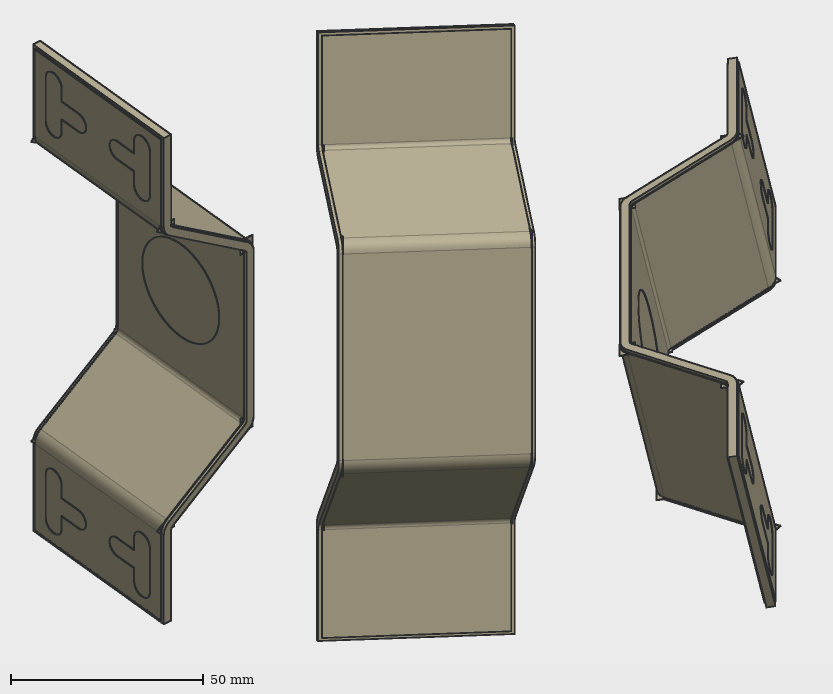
import cadquery as cq
import math

width = 52.0
height = 161.0

flange_mid_y = -13.7
centre_mid_y = 14.8
flange_bend_z = 49.3
centre_bend_z = 29.0
bend_mid_radius = 3.2

sheet_thickness = 3.0
lip_thickness = 2.4
side_lip = 1.0
end_lip = 0.8

web_thickness = 0.2
flange_web_outline = [(-10.5, 50.9), (-15.3, 50.9), (-16.5, 49.6), (-12.9, 47.4), (-10.5, 49.5)]
centre_web_outline = [(12.2, 27.2), (16.5, 27.2), (16.5, 31.7), (12.2, 31.7)]

mark_depth = 0.2
disc_diameter = 30.6
slot_x = 17.5
slot_z = 65.7
slot_length = 21.0
slot_width = 6.3
branch_width = 6.0
branch_tip_x = 4.7

slope_angle = math.atan2(flange_bend_z - centre_bend_z, centre_mid_y - flange_mid_y)
bend_angle = math.pi / 2 - slope_angle


def extrude_across(profile, length):
    """Extrude a YZ profile along X, centred on X = 0."""
    return profile.extrude(length / 2, both=True)


def surface_path(offset, end_z):
    """Corners of the sheet surface lying `offset` behind the mid-surface, top to bottom."""
    corner_shift = offset * math.tan(bend_angle / 2)
    upper = [
        (flange_mid_y + offset, end_z),
        (flange_mid_y + offset, flange_bend_z + corner_shift),
        (centre_mid_y + offset, centre_bend_z + corner_shift),
    ]
    lower = [(y, -z) for y, z in reversed(upper)]
    return upper + lower


def round_bends(body, offset):
    """Round the four bends of the surface lying `offset` behind the mid-surface."""
    corners = surface_path(offset, height / 2)[1:-1]
    for y, z in corners:
        at_flange = abs(y - flange_mid_y - offset) < abs(y - centre_mid_y - offset)
        radius = bend_mid_radius - offset if at_flange else bend_mid_radius + offset
        body = body.edges(cq.selectors.NearestToPointSelector((0, y, z))).fillet(radius)
    return body


def bent_sheet(thickness, sheet_width, sheet_height):
    half = thickness / 2
    front = surface_path(-half, sheet_height / 2)
    back = surface_path(half, sheet_height / 2)
    profile = cq.Workplane("YZ").polyline(front + back[::-1]).close()
    body = extrude_across(profile, sheet_width)
    return round_bends(round_bends(body, -half), half)


def add_webs(body, outline, side_x):
    """Add the web with this outline, its outer face at `side_x`, at both bends and both sides."""
    inner_x = side_x - web_thickness
    web = cq.Workplane("YZ", origin=(inner_x, 0, 0)).polyline(outline).close().extrude(web_thickness)
    web_pair = web.union(web.mirror("XY"))
    return body.union(web_pair).union(web_pair.mirror("YZ"))


def front_mark(front_y):
    """Sketch plane set `mark_depth` behind a front face; extruding comes out of that face."""
    return cq.Workplane("XZ", origin=(0, front_y + mark_depth, 0))


def t_slot(side, level):
    """T-shaped slot: an upright bar with a round-ended branch towards the middle."""
    front_y = flange_mid_y - sheet_thickness / 2
    bar = front_mark(front_y).center(side * slot_x, level * slot_z).slot2D(slot_length, slot_width, 90)
    branch_length = slot_x - branch_tip_x + branch_width / 2
    branch_x = branch_tip_x + branch_length / 2
    branch = front_mark(front_y).center(side * branch_x, level * slot_z)
    branch = branch.slot2D(branch_length, branch_width)
    return bar.extrude(mark_depth).union(branch.extrude(mark_depth))


skin_width = width - 2 * side_lip
skin = bent_sheet(sheet_thickness, skin_width, height - 2 * end_lip)
result = bent_sheet(lip_thickness, width, height).union(skin)

result = add_webs(result, flange_web_outline, skin_width / 2)
result = add_webs(result, centre_web_outline, skin_width / 2)

centre_plane = front_mark(centre_mid_y - sheet_thickness / 2)
result = result.cut(centre_plane.circle(disc_diameter / 2).extrude(mark_depth))
for side in (-1, 1):
    for level in (-1, 1):
        result = result.cut(t_slot(side, level))